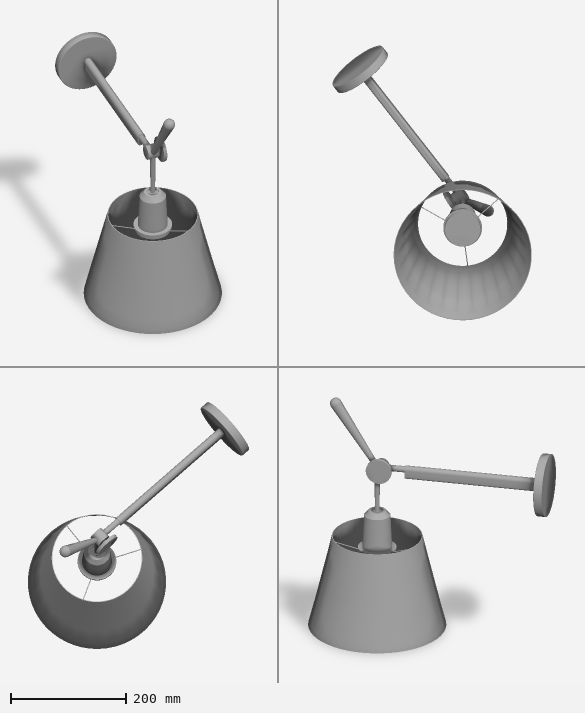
import cadquery as cq
import math


PLATE_BACK_X = -305.0
PLATE_THICKNESS = 15.5
PLATE_RADIUS = 55.0
PLATE_EDGE_FILLET = 1.3
PLATE_CENTER_Z = -4.0

TUBE_WIDTH = 14.0
TUBE_HEIGHT = 23.0
TUBE_BOTTOM_FILLET = 4.2
TUBE_END_X = -49.7
ROD_RADIUS = 5.5
ROD_Z = 0.5

JOINT_X = -7.0
JOINT_RADIUS = 12.8
JOINT_HALF_LENGTH = 10.0
KNOB_RADIUS = 22.5
KNOB_THICKNESS = 6.0
KNOB_NECK_RADIUS = 5.5
KNOB_NECK_LENGTH = 4.5

GRIP_ANGLE = 57.0
GRIP_LENGTH = 135.0
GRIP_BASE_RADIUS = 4.5
GRIP_TIP_RADIUS = 10.0

HANGER_TOP_RADIUS = 5.0
HANGER_BOTTOM_RADIUS = 4.2
HANGER_TAPER_END_Z = -62.0

HOLDER_TOP_Z = -83.0
HOLDER_TOP_RADIUS = 15.5
HOLDER_SHOULDER_Z = -91.5
HOLDER_SHOULDER_RADIUS = 23.0
HOLDER_SKIRT_RADIUS = 26.0
GROOVE_INNER_RADIUS = 7.0
GROOVE_OUTER_RADIUS = 10.5
GROOVE_DEPTH = 1.5
COLLAR_RADIUS = 30.5
COLLAR_HEIGHT = 6.5

SHADE_TOP_Z = -131.5
SHADE_HEIGHT = 169.5
SHADE_TOP_RADIUS = 78.5
SHADE_BOTTOM_RADIUS = 120.0
SHADE_WALL = 1.3
RING_TOP_Z = -152.0
RING_RADIUS = 33.5
RING_THICKNESS = 4.2
SPOKE_RADIUS = 1.0
SPOKE_ANGLES = (30, 150, 270)
SPOKE_OVERRUN = 1.0

RING_BOTTOM_Z = RING_TOP_Z - RING_THICKNESS


def revolve_profile(points):
    """Turn a closed (radius, z) outline around the lamp axis."""
    return cq.Workplane("XZ").polyline(points).close().revolve(360, (0, 0, 0), (0, 1, 0))


def cylinder_x(radius, start_x, end_x, center_z):
    return cq.Workplane("YZ", origin=(start_x, 0, center_z)).circle(radius).extrude(end_x - start_x)


def cylinder_y(radius, start_y, end_y):
    """Cylinder along Y on the pivot axis, from the lower to the higher Y."""
    return cq.Workplane("XZ", origin=(JOINT_X, end_y, 0)).circle(radius).extrude(end_y - start_y)


def make_wall_plate():
    plate = cylinder_x(PLATE_RADIUS, PLATE_BACK_X, PLATE_BACK_X + PLATE_THICKNESS, PLATE_CENTER_Z)
    return plate.faces(">X").edges().fillet(PLATE_EDGE_FILLET)


def make_tube():
    """Tube with a half-round top centered on the rod and a flat, rounded bottom."""
    half_width = TUBE_WIDTH / 2
    bottom_z = half_width - TUBE_HEIGHT
    start_x = PLATE_BACK_X + PLATE_THICKNESS
    tube = (
        cq.Workplane("YZ", origin=(start_x, 0, ROD_Z))
        .moveTo(half_width, 0)
        .threePointArc((0, half_width), (-half_width, 0))
        .lineTo(-half_width, bottom_z)
        .lineTo(half_width, bottom_z)
        .close()
        .extrude(TUBE_END_X - start_x)
    )
    return tube.faces("<Z").edges("|X").fillet(TUBE_BOTTOM_FILLET)


def make_joint():
    """Pivot barrel with a round knob on a short neck behind it."""
    neck_end = JOINT_HALF_LENGTH + KNOB_NECK_LENGTH
    barrel = cylinder_y(JOINT_RADIUS, -JOINT_HALF_LENGTH, JOINT_HALF_LENGTH)
    neck = cylinder_y(KNOB_NECK_RADIUS, 0, neck_end)
    knob = cylinder_y(KNOB_RADIUS, neck_end, neck_end + KNOB_THICKNESS)
    return barrel.union(neck).union(knob)


def make_grip():
    """Tapered grip with a hemispherical tip, leaning from the lamp axis toward +X."""
    diagonal = GRIP_TIP_RADIUS * math.sqrt(0.5)
    upright = (
        cq.Workplane("XZ")
        .lineTo(GRIP_BASE_RADIUS, 0)
        .lineTo(GRIP_TIP_RADIUS, GRIP_LENGTH)
        .threePointArc((diagonal, GRIP_LENGTH + diagonal), (0, GRIP_LENGTH + GRIP_TIP_RADIUS))
        .close()
        .revolve(360, (0, 0, 0), (0, 1, 0))
    )
    return upright.rotate((0, 0, 0), (0, 1, 0), 90 - GRIP_ANGLE)


def make_hanger():
    """Rod that tapers down from the joint and ends straight on the lamp holder."""
    return revolve_profile([
        (0, 0),
        (HANGER_TOP_RADIUS, 0),
        (HANGER_BOTTOM_RADIUS, HANGER_TAPER_END_Z),
        (HANGER_BOTTOM_RADIUS, HOLDER_TOP_Z),
        (0, HOLDER_TOP_Z),
    ])


def make_lamp_arm():
    rod = cylinder_x(ROD_RADIUS, TUBE_END_X, JOINT_X, ROD_Z)
    arm = make_wall_plate().union(make_tube()).union(rod).union(make_joint())
    return arm.union(make_grip()).union(make_hanger())


def make_lamp_holder():
    """Tapered holder that passes through the carrier ring and carries it on a collar."""
    collar_bottom_z = RING_BOTTOM_Z - COLLAR_HEIGHT
    body = revolve_profile([
        (0, HOLDER_TOP_Z),
        (HOLDER_TOP_RADIUS, HOLDER_TOP_Z),
        (HOLDER_SHOULDER_RADIUS, HOLDER_SHOULDER_Z),
        (HOLDER_SKIRT_RADIUS, RING_TOP_Z),
        (HOLDER_SKIRT_RADIUS, RING_BOTTOM_Z),
        (COLLAR_RADIUS, RING_BOTTOM_Z),
        (COLLAR_RADIUS, collar_bottom_z),
        (0, collar_bottom_z),
    ])
    groove = (
        cq.Workplane("XY", origin=(0, 0, HOLDER_TOP_Z))
        .circle(GROOVE_OUTER_RADIUS)
        .circle(GROOVE_INNER_RADIUS)
        .extrude(-GROOVE_DEPTH)
    )
    return body.cut(groove)


def make_spoke(angle):
    """Straight spoke rising from inside the carrier ring's rim to the top of the shade."""
    inner_radius = (HOLDER_SKIRT_RADIUS + RING_RADIUS) / 2
    outer_radius = SHADE_TOP_RADIUS + SPOKE_OVERRUN
    inner_z = RING_TOP_Z - RING_THICKNESS / 2
    outer_z = SHADE_TOP_Z - SPOKE_RADIUS
    start = cq.Vector(inner_radius, 0, inner_z)
    run = cq.Vector(outer_radius, 0, outer_z) - start
    spoke = cq.Workplane(cq.Solid.makeCylinder(SPOKE_RADIUS, run.Length, start, run))
    return spoke.rotate((0, 0, 0), (0, 0, 1), angle)


def make_shade():
    """Open conical shade hung on three spokes from the carrier ring."""
    bottom_z = SHADE_TOP_Z - SHADE_HEIGHT
    shade = revolve_profile([
        (SHADE_TOP_RADIUS, SHADE_TOP_Z),
        (SHADE_BOTTOM_RADIUS, bottom_z),
        (SHADE_BOTTOM_RADIUS - SHADE_WALL, bottom_z),
        (SHADE_TOP_RADIUS - SHADE_WALL, SHADE_TOP_Z),
    ])
    ring = (
        cq.Workplane("XY", origin=(0, 0, RING_BOTTOM_Z))
        .circle(RING_RADIUS)
        .circle(HOLDER_SKIRT_RADIUS)
        .extrude(RING_THICKNESS)
    )
    for angle in SPOKE_ANGLES:
        shade = shade.union(make_spoke(angle))
    return shade.union(ring)


lamp_arm = make_lamp_arm().solids()
lamp_holder = make_lamp_holder().solids()
shade = make_shade().solids()

result = cq.Compound.makeCompound([lamp_arm.val(), lamp_holder.val(), shade.val()])